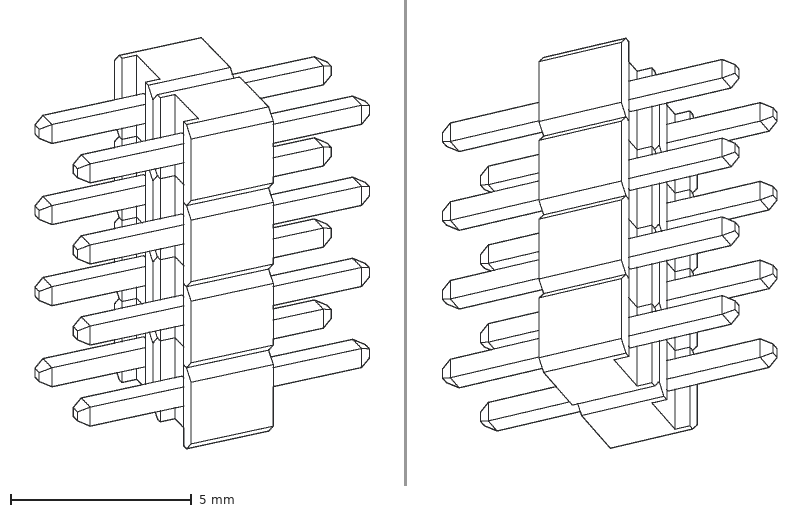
import cadquery as cq

pitch = 2.54
columns = 2
rows = 4

block_depth = 2.5
corner_chamfer = 0.3
channel_width = 1.54
channel_depth = 0.45

pin_width = 0.6
pin_length = 8.88
pin_front_reach = 2.94
tip_length = 0.31
tip_width = 0.28

pin_start = -pin_front_reach
pin_end = pin_start + pin_length


def make_block():
    """Square block with chamfered long edges and a vertical channel across its front."""
    block = (
        cq.Workplane("XY")
        .box(pitch, block_depth, pitch, centered=(True, False, True))
        .edges("|Y")
        .chamfer(corner_chamfer)
    )
    channel = cq.Workplane("XY").box(channel_width, channel_depth, pitch, centered=(True, False, True))
    return block.cut(channel)


def make_tip(base_y, direction):
    """Tapered pin tip that starts at base_y and narrows along direction (+1 or -1) in Y."""
    return (
        cq.Workplane(cq.Plane(origin=(0, base_y, 0), xDir=(1, 0, 0), normal=(0, direction, 0)))
        .rect(pin_width, pin_width)
        .workplane(offset=tip_length)
        .rect(tip_width, tip_width)
        .loft(ruled=True)
    )


def make_pin():
    """Square pin with a tapered tip at each end."""
    shaft_start = pin_start + tip_length
    shaft_end = pin_end - tip_length
    shaft = (
        cq.Workplane("XY")
        .box(pin_width, shaft_end - shaft_start, pin_width, centered=(True, False, True))
        .translate((0, shaft_start, 0))
    )
    return shaft.union(make_tip(shaft_start, -1)).union(make_tip(shaft_end, 1))


def make_header_unit(column, row):
    """One block with its pin as a single solid, placed at its grid position."""
    x = (column - (columns - 1) / 2) * pitch
    z = (row - (rows - 1) / 2) * pitch
    return make_block().union(make_pin()).translate((x, 0, z))


header_units = []
for column in range(columns):
    for row in range(rows):
        header_units.append(make_header_unit(column, row).solids().val())

result = cq.Compound.makeCompound(header_units)